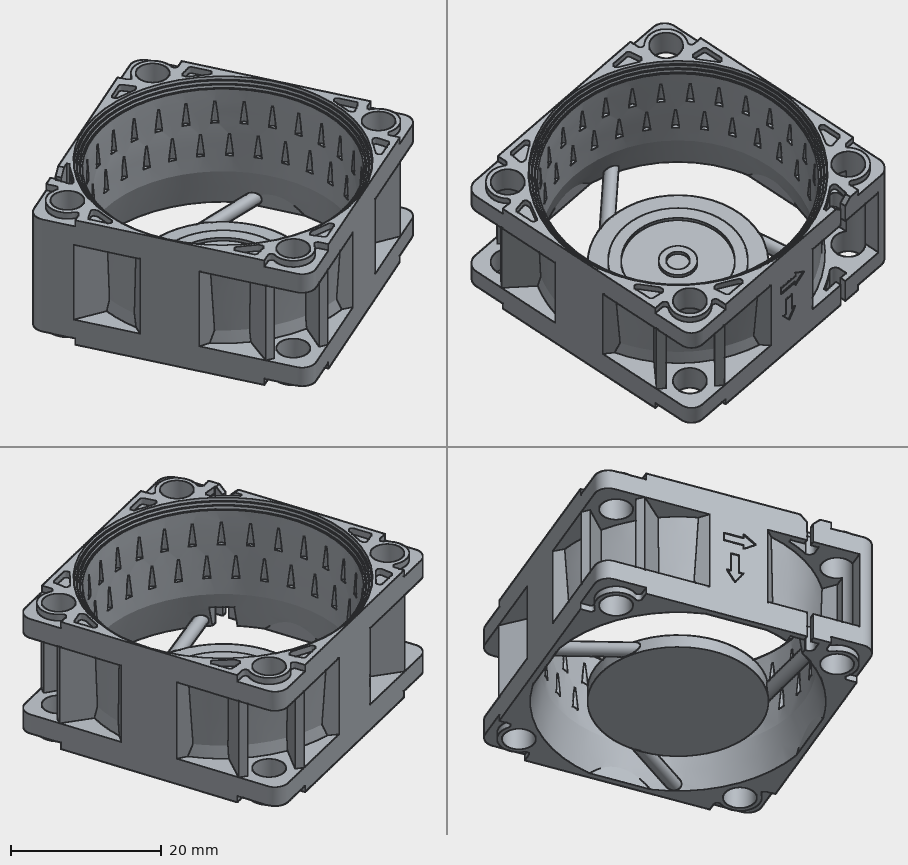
import cadquery as cq
import math

SIDE = 40.0
HEIGHT = 20.0
CORNER_RADIUS = 2.0
FLANGE = 4.0
HALF = SIDE / 2
TOP = HEIGHT / 2
BOTTOM = -TOP
WINDOW_TOP = TOP - FLANGE
WINDOW_BOTTOM = BOTTOM + FLANGE
OVERCUT = 1.0
SEAM_ANGLE = -70

THROAT_RADIUS = 18.3
THROAT_Z = -4.2
INLET_RADIUS = 19.85
INLET_STEP = 0.4
INLET_STEP_COUNT = 3
INLET_DRAFT = 0.15
BORE_TOP_RADIUS = INLET_RADIUS - INLET_STEP_COUNT * INLET_STEP
BORE_TOP_Z = TOP - INLET_STEP_COUNT * INLET_STEP
OUTLET_RADIUS = 19.6
OUTLET_FLAT = 19.1
DUCT_WALL = 0.8
BARREL_TOP_RADIUS = 19.45

PAD_HALF_WIDTH = 4.2
PAD_SLOPE = 40.0
WEB_EDGE = 13.6
WEB_TIP_WIDTH = 0.9
WEB_ROOT_WIDTH = 1.33
WEB_ROOT = 15.0
POST_FACE = 17.5

HOLE_OFFSET = 16.0
HOLE_RADIUS = 2.25
RIM_RADIUS = 2.9
RECESS_EDGE = 13.4
RECESS_DEPTH = 1.0
RECESS_FILLET = 0.5

POCKET_DEPTH = 1.0
POCKET_FILLET = 0.4
POCKET_OUTER = 19.15
POCKET_INNER = 16.8
POCKET_START = 8.7
POCKET_OUTER_END = 11.95
POCKET_INNER_END = 12.3
POCKET_SLOPE_START = 18.4
POCKET_SLOPE_END = 11.4

CABLE_START = 7.9
CABLE_WALL_RADIUS = 20.35
CABLE_INNER = 17.15
CABLE_FILLET = 0.8
CABLE_SLOT_Y = -10.35
CABLE_SLOT_WIDTH = 0.9
CABLE_MOUTH_WIDTH = 2.9
CABLE_MOUTH_DEPTH = 1.0
CABLE_EXIT_TOP = -6.6
CABLE_EXIT_REACH = 15.5

HUB_RADIUS = 12.0
HUB_TOP = -8.0
HUB_RING_OUTER = 9.27
HUB_RING_INNER = 7.54
BOSS_RADIUS = 2.57
BOSS_BORE = 1.57
HUB_RELIEF = 0.5
STRUT_RADIUS = 1.0
STRUT_Z = -8.9
STRUT_COUNT = 3
STRUT_OFFSET = 9.75
STRUT_ANGLE = 38.0
STRUT_END_RADIUS = 19.9

GROOVES_PER_ROW = 30
GROOVE_PITCH = 360 / GROOVES_PER_ROW
GROOVE_LENGTH = 3.4
GROOVE_BASE_RADIUS = 0.52
GROOVE_TIP_RADIUS = 0.15
LOWER_ROW_Z = -1.7
UPPER_ROW_Z = 3.45

ARROW_LENGTH = 4.6
ARROW_HEAD_LENGTH = 1.75
ARROW_SHAFT_WIDTH = 1.2
ARROW_HEAD_WIDTH = 2.4
ARROW_DEPTH = 0.15
ACROSS_ARROW_Y = 2.1
ACROSS_ARROW_Z = 3.0
DOWN_ARROW_Y = 0.5
DOWN_ARROW_Z = 0.5


def cylinder(radius, z_low, z_high, x=0.0, y=0.0):
    return cq.Workplane("XY", origin=(x, y, z_low)).circle(radius).extrude(z_high - z_low)


def prism(points, z_low, z_high):
    return cq.Workplane("XY").workplane(offset=z_low).polyline(points).close().extrude(z_high - z_low)


def slab(z_low, z_high):
    blank = cq.Workplane("XY", origin=(0, 0, z_low)).rect(SIDE, SIDE).extrude(z_high - z_low)
    return blank.edges("|Z").fillet(CORNER_RADIUS)


def revolved(profile):
    """Full turn of a profile about Z, with its seam clear of the flats and the cable passage."""
    body = cq.Workplane("XZ").polyline(profile).close().revolve(360, (0, 0, 0), (0, 1, 0))
    return body.rotate((0, 0, 0), (0, 0, 1), SEAM_ANGLE)


def four_ways(body):
    """The body and its copies turned by 90, 180 and 270 degrees about Z."""
    copies = body
    for quarter in range(1, 4):
        copies = copies.union(body.rotate((0, 0, 0), (0, 0, 1), 90 * quarter))
    return copies


def diagonal_twin(body):
    """The reflection of the body across the -X, -Y diagonal."""
    return body.mirror("YZ").rotate((0, 0, 0), (0, 0, 1), -90)


def with_diagonal_twin(body):
    return body.union(diagonal_twin(body))


def barrel():
    """Outside of the thin duct wall between the flanges, as a solid of revolution."""
    neck_radius = THROAT_RADIUS + DUCT_WALL
    flare = (OUTLET_RADIUS - THROAT_RADIUS) / (THROAT_Z - BOTTOM)
    foot_radius = neck_radius + flare * (THROAT_Z - WINDOW_BOTTOM)
    return revolved([
        (0, WINDOW_BOTTOM),
        (foot_radius, WINDOW_BOTTOM),
        (neck_radius, THROAT_Z),
        (BARREL_TOP_RADIUS, WINDOW_TOP),
        (0, WINDOW_TOP),
    ])


def side_pad():
    """Solid pad in the middle of the -Y side, widening inwards."""
    depth = HALF - WEB_ROOT
    root_half_width = PAD_HALF_WIDTH + depth * math.tan(math.radians(PAD_SLOPE))
    outline = [
        (-PAD_HALF_WIDTH, -HALF),
        (PAD_HALF_WIDTH, -HALF),
        (root_half_width, -WEB_ROOT),
        (-root_half_width, -WEB_ROOT),
    ]
    return prism(outline, WINDOW_BOTTOM, WINDOW_TOP)


def corner_web():
    """45 degree web of the -X, -Y corner that ends on the -Y side."""
    depth = HALF - WEB_ROOT
    root_edge = -WEB_EDGE + depth
    outline = [
        (-WEB_EDGE, -HALF),
        (-WEB_EDGE - WEB_TIP_WIDTH, -HALF + WEB_TIP_WIDTH),
        (root_edge - WEB_ROOT_WIDTH, -WEB_ROOT),
        (root_edge, -WEB_ROOT),
    ]
    return prism(outline, WINDOW_BOTTOM, WINDOW_TOP)


def corner_post():
    """Solid wall of the -X, -Y corner; the other corners stay open."""
    outline = [
        (-HALF, -HALF),
        (-WEB_EDGE, -HALF),
        (-WEB_EDGE + HALF - POST_FACE, -POST_FACE),
        (-HALF, -POST_FACE),
    ]
    return prism(outline, WINDOW_BOTTOM, WINDOW_TOP).intersect(slab(WINDOW_BOTTOM, WINDOW_TOP))


def frame():
    all_webs = four_ways(with_diagonal_twin(corner_web()))
    cable_web = diagonal_twin(corner_web())
    webs = all_webs.cut(cable_web)
    middle = barrel().union(four_ways(side_pad())).union(webs).union(corner_post())
    return slab(BOTTOM, WINDOW_BOTTOM).union(middle).union(slab(WINDOW_TOP, TOP))


def duct():
    """Air passage, with the outlet flare flattened at the four sides."""
    inlet = [(0, TOP), (INLET_RADIUS, TOP)]
    for step in range(INLET_STEP_COUNT):
        radius = INLET_RADIUS - step * INLET_STEP
        ledge_z = TOP - (step + 1) * INLET_STEP
        inlet += [(radius - INLET_DRAFT, ledge_z), (radius - INLET_STEP, ledge_z)]
    upper = revolved(inlet + [(THROAT_RADIUS, THROAT_Z), (0, THROAT_Z)])
    outlet = revolved([
        (0, THROAT_Z),
        (THROAT_RADIUS, THROAT_Z),
        (OUTLET_RADIUS, BOTTOM),
        (0, BOTTOM),
    ])
    flats = cq.Workplane("XY").box(2 * OUTLET_FLAT, 2 * OUTLET_FLAT, HEIGHT)
    return upper.union(outlet.intersect(flats))


def bore_radius(z):
    fraction = (z - THROAT_Z) / (BORE_TOP_Z - THROAT_Z)
    return THROAT_RADIUS + fraction * (BORE_TOP_RADIUS - THROAT_RADIUS)


def groove(z, angle):
    radius = bore_radius(z)
    x = radius * math.cos(math.radians(angle))
    y = radius * math.sin(math.radians(angle))
    base = cq.Vector(x, y, z)
    return cq.Solid.makeCone(GROOVE_BASE_RADIUS, GROOVE_TIP_RADIUS, GROOVE_LENGTH, base)


def bore_grooves():
    """Two staggered rows of half-cone grooves, pointing up."""
    cones = []
    for index in range(GROOVES_PER_ROW):
        angle = index * GROOVE_PITCH
        cones.append(groove(LOWER_ROW_Z, angle))
        cones.append(groove(UPPER_ROW_Z, angle + GROOVE_PITCH / 2))
    return cq.Workplane(cq.Compound.makeCompound(cones))


def corner_recess(z_low):
    """Recess outside the screw hole rim of the -X, -Y corner."""
    width = HALF - RECESS_EDGE + OVERCUT
    centre = -RECESS_EDGE - width / 2
    block = cq.Workplane("XY", origin=(centre, centre, z_low)).rect(width, width).extrude(RECESS_DEPTH)
    z_high = z_low + RECESS_DEPTH
    rim = cylinder(RIM_RADIUS, z_low, z_high, -HOLE_OFFSET, -HOLE_OFFSET)
    inner_side = HOLE_OFFSET - RECESS_EDGE
    inner_centre = -(HOLE_OFFSET + RECESS_EDGE) / 2
    inner = cq.Workplane("XY", origin=(inner_centre, inner_centre, z_low))
    inner = inner.rect(inner_side, inner_side).extrude(RECESS_DEPTH)
    recess = block.cut(rim).cut(inner)
    reach = math.sqrt(RIM_RADIUS**2 - inner_side**2)
    for x, y in ((-RECESS_EDGE, -HOLE_OFFSET - reach), (-HOLE_OFFSET - reach, -RECESS_EDGE)):
        end_edge = cq.selectors.NearestToPointSelector((x, y, (z_low + z_high) / 2))
        recess = recess.edges("|Z").edges(end_edge).fillet(RECESS_FILLET)
    return recess


def screw_holes():
    return four_ways(cylinder(HOLE_RADIUS, BOTTOM, TOP, -HOLE_OFFSET, -HOLE_OFFSET))


def flange_pocket():
    """Shallow pocket in the top flange beside the -Y side."""
    outline = [
        (-POCKET_START, -POCKET_OUTER),
        (-POCKET_OUTER_END, -POCKET_OUTER),
        (-POCKET_INNER_END, -POCKET_INNER),
        (-POCKET_SLOPE_END, -POCKET_INNER),
        (-POCKET_START, -POCKET_SLOPE_START),
    ]
    return prism(outline, TOP - POCKET_DEPTH, TOP).edges("|Z").fillet(POCKET_FILLET)


def cable_passage():
    """Through pocket along the -X side, slotted to the outside and open to the duct near the bottom."""
    start_x = -math.sqrt(CABLE_WALL_RADIUS**2 - CABLE_START**2)
    end_y = -math.sqrt(CABLE_WALL_RADIUS**2 - CABLE_INNER**2)
    start_angle = math.atan2(CABLE_START, -start_x)
    end_angle = math.atan2(-end_y, CABLE_INNER)
    middle = math.pi + (start_angle + end_angle) / 2
    arc_middle = (CABLE_WALL_RADIUS * math.cos(middle), CABLE_WALL_RADIUS * math.sin(middle))
    outline = (
        cq.Workplane("XY", origin=(0, 0, BOTTOM))
        .moveTo(-POCKET_OUTER, -CABLE_START)
        .lineTo(start_x, -CABLE_START)
        .threePointArc(arc_middle, (-CABLE_INNER, end_y))
        .lineTo(-CABLE_INNER, -POCKET_OUTER_END)
        .lineTo(-POCKET_OUTER, -POCKET_OUTER_END)
        .close()
    )
    pocket = outline.extrude(HEIGHT)
    pocket_corner = cq.selectors.NearestToPointSelector((-CABLE_INNER, -POCKET_OUTER_END, 0))
    pocket = pocket.edges("|Z").edges(pocket_corner).fillet(CABLE_FILLET)
    half_slot = CABLE_SLOT_WIDTH / 2
    half_mouth = CABLE_MOUTH_WIDTH / 2
    slot_profile = [
        (CABLE_SLOT_Y - half_slot, BOTTOM),
        (CABLE_SLOT_Y + half_slot, BOTTOM),
        (CABLE_SLOT_Y + half_slot, TOP - CABLE_MOUTH_DEPTH),
        (CABLE_SLOT_Y + half_mouth, TOP),
        (CABLE_SLOT_Y - half_mouth, TOP),
        (CABLE_SLOT_Y - half_slot, TOP - CABLE_MOUTH_DEPTH),
    ]
    slot = cq.Workplane("YZ", origin=(-HALF, 0, 0)).polyline(slot_profile).close()
    slot = slot.extrude(HALF - POCKET_OUTER)
    exit_end = CABLE_SLOT_Y - half_slot
    exit_outline = [
        (-POCKET_OUTER, -CABLE_START),
        (-CABLE_EXIT_REACH, -CABLE_START),
        (-CABLE_EXIT_REACH, exit_end),
        (-POCKET_OUTER, exit_end),
    ]
    duct_exit = prism(exit_outline, BOTTOM, CABLE_EXIT_TOP)
    return pocket.union(slot).union(duct_exit)


def hub():
    body = cylinder(HUB_RADIUS, BOTTOM, HUB_TOP)
    ring_top = HUB_TOP + HUB_RELIEF
    ring = cylinder(HUB_RING_OUTER, HUB_TOP, ring_top).cut(cylinder(HUB_RING_INNER, HUB_TOP, ring_top))
    boss = cylinder(BOSS_RADIUS, HUB_TOP, ring_top).cut(cylinder(BOSS_BORE, HUB_TOP, ring_top))
    return body.union(ring).union(boss)


def motor_mount():
    """Hub on round struts that are offset from its axis and end inside the bottom flange."""
    strut = cq.Workplane("XZ", origin=(STRUT_OFFSET, 0, STRUT_Z))
    strut = strut.circle(STRUT_RADIUS).extrude(STRUT_END_RADIUS)
    strut = strut.intersect(cylinder(STRUT_END_RADIUS, BOTTOM, WINDOW_BOTTOM))
    strut = strut.cut(cylinder(HUB_RADIUS, HUB_TOP, WINDOW_BOTTOM))
    mount = hub()
    for index in range(STRUT_COUNT):
        angle = STRUT_ANGLE + index * 360 / STRUT_COUNT
        mount = mount.union(strut.rotate((0, 0, 0), (0, 0, 1), angle))
    return mount


def arrow(tail_y, tail_z, angle):
    """Engraved arrow; at angle 0 it points towards -Y."""
    neck = ARROW_LENGTH - ARROW_HEAD_LENGTH
    half_shaft = ARROW_SHAFT_WIDTH / 2
    half_head = ARROW_HEAD_WIDTH / 2
    outline = [
        (0, -half_shaft),
        (-neck, -half_shaft),
        (-neck, -half_head),
        (-ARROW_LENGTH, 0),
        (-neck, half_head),
        (-neck, half_shaft),
        (0, half_shaft),
    ]
    body = cq.Workplane("YZ").polyline(outline).close().extrude(ARROW_DEPTH)
    return body.rotate((0, 0, 0), (1, 0, 0), angle).translate((-HALF, tail_y, tail_z))


result = frame().cut(duct())
result = result.cut(bore_grooves())
result = result.cut(screw_holes())
result = result.cut(four_ways(corner_recess(TOP - RECESS_DEPTH)))
result = result.cut(four_ways(corner_recess(BOTTOM)))
result = result.cut(four_ways(with_diagonal_twin(flange_pocket())))
result = result.cut(cable_passage()).union(motor_mount())
result = result.cut(arrow(ACROSS_ARROW_Y, ACROSS_ARROW_Z, 0))
result = result.cut(arrow(DOWN_ARROW_Y, DOWN_ARROW_Z, 90))